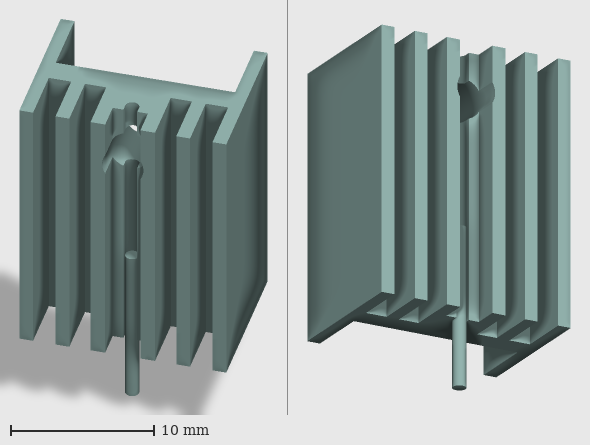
import cadquery as cq

sink_width = 15.0
sink_depth = 11.0
sink_height = 20.0
wall_thickness = 1.0
rear_bay_depth = 5.0
front_slot_depth = 4.18
fin_inner_x = 3.88
center_block_width = 4.68
channel_width = 2.55
channel_depth = 2.0
mount_hole_diameter = 3.0
mount_hole_drop = 3.5

pin_diameter = 1.0
pin_length = 12.0
pin_projection = 5.0
pin_radius = pin_diameter / 2
pin_center_y = channel_depth + pin_radius

sink_bottom = pin_projection
sink_top = sink_bottom + sink_height


def profile_block(x_min, x_max, y_min, y_max):
    """Block over the full height of the sink."""
    return (
        cq.Workplane("XY", origin=(0, 0, sink_bottom))
        .moveTo((x_min + x_max) / 2, (y_min + y_max) / 2)
        .rect(x_max - x_min, y_max - y_min)
        .extrude(sink_height)
    )


def make_pin_groove():
    """Straight-sided groove with a half-round bottom that fits the pin."""
    return (
        cq.Workplane("XY", origin=(0, 0, sink_bottom))
        .moveTo(-pin_radius, 0)
        .lineTo(pin_radius, 0)
        .lineTo(pin_radius, pin_center_y)
        .threePointArc((0, pin_center_y + pin_radius), (-pin_radius, pin_center_y))
        .close()
        .extrude(sink_height)
    )


def make_mount_hole():
    """Round cutter along Y through the full depth."""
    return (
        cq.Workplane("XZ", origin=(0, 0, sink_top - mount_hole_drop))
        .circle(mount_hole_diameter / 2)
        .extrude(-sink_depth)
    )


def make_heat_sink():
    half_width = sink_width / 2
    wall_inner_x = half_width - wall_thickness
    half_channel = channel_width / 2
    sink = profile_block(-half_width, half_width, 0, sink_depth)

    sink = sink.cut(profile_block(-wall_inner_x, wall_inner_x, sink_depth - rear_bay_depth, sink_depth))
    sink = sink.cut(profile_block(-half_channel, half_channel, 0, channel_depth))

    slots = [
        (center_block_width / 2, fin_inner_x),
        (fin_inner_x + wall_thickness, wall_inner_x),
    ]
    for inner_x, outer_x in slots:
        sink = sink.cut(profile_block(inner_x, outer_x, 0, front_slot_depth))
        sink = sink.cut(profile_block(-outer_x, -inner_x, 0, front_slot_depth))

    return sink.cut(make_pin_groove()).cut(make_mount_hole())


def make_solder_pin():
    return cq.Workplane("XY").center(0, pin_center_y).circle(pin_radius).extrude(pin_length)


heat_sink = make_heat_sink()
solder_pin = make_solder_pin()

result = cq.Compound.makeCompound([heat_sink.val(), solder_pin.val()])